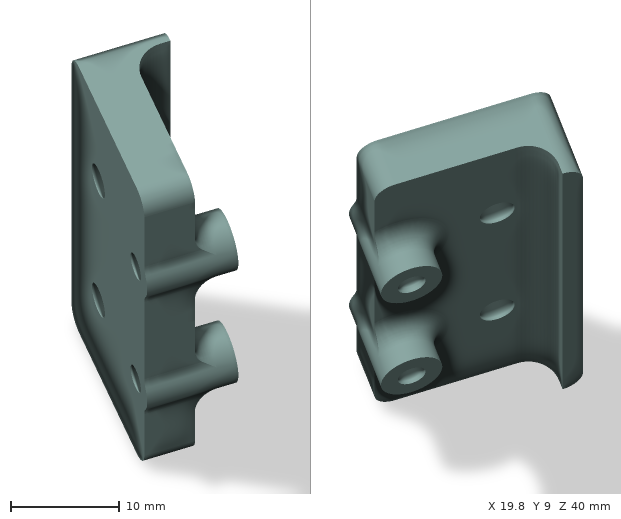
import cadquery as cq
import math

height = 40.0
plate_width = 19.0
plate_thickness = 5.0
corner_radius = 2.0

total_depth = 9.0
wall_thickness = 2.0
wall_fillet = 3.0

boss_diameter = 6.0
boss_radius = boss_diameter / 2
overall_width = 19.75
boss_x = overall_width - boss_radius
boss_heights = (7.9, -9.05)
boss_hole_diameter = 2.7
boss_base_fillet = 2.0
boss_side_fillet = 2.0

plate_hole_diameter = 3.4
plate_hole_x = 7.0
plate_hole_offset = 9.0


def facing_back():
    """XZ sketch plane whose extrusions run along +Y; local y points to -Z."""
    return cq.Workplane("XZ", origin=(0, 0, 0)).transformed(rotate=(180, 0, 0))


def rounded_block(depth):
    """Full plate outline with rounded corners, from Y = 0 to the given depth."""
    return (
        facing_back()
        .center(plate_width / 2, 0)
        .rect(plate_width, height)
        .extrude(depth)
        .edges("|Y")
        .fillet(corner_radius)
    )


def wall_profile():
    """Constant XY section: plate, wall and the concave blend between them."""
    blend_end_x = wall_thickness + wall_fillet
    blend_end_y = plate_thickness + wall_fillet
    return (
        cq.Workplane("XY", origin=(0, 0, -height / 2))
        .lineTo(plate_width, 0)
        .lineTo(plate_width, plate_thickness)
        .lineTo(blend_end_x, plate_thickness)
        .radiusArc((wall_thickness, blend_end_y), wall_fillet)
        .lineTo(wall_thickness, total_depth)
        .lineTo(0, total_depth)
        .close()
        .extrude(height)
    )


def side_lobe(z, depth):
    """Boss bulge with concave blends into the +X side of the plate."""
    blend_x = plate_width + boss_side_fillet
    center_distance = boss_radius + boss_side_fillet
    blend_dz = math.sqrt(center_distance**2 - (blend_x - boss_x) ** 2)
    touch_x = boss_x + (blend_x - boss_x) * boss_radius / center_distance
    touch_dz = blend_dz * boss_radius / center_distance
    return (
        facing_back()
        .center(0, -z)
        .moveTo(boss_x, -blend_dz)
        .lineTo(plate_width, -blend_dz)
        .radiusArc((touch_x, -touch_dz), boss_side_fillet)
        .threePointArc((overall_width, 0), (touch_x, touch_dz))
        .radiusArc((plate_width, blend_dz), boss_side_fillet)
        .lineTo(boss_x, blend_dz)
        .close()
        .extrude(depth)
    )


def flared_boss(z):
    """Boss cylinder with a concave flare where it meets the plate."""
    flare_top = plate_thickness + boss_base_fillet
    return (
        cq.Workplane("XY", origin=(boss_x, 0, z))
        .lineTo(boss_radius + boss_base_fillet, 0)
        .lineTo(boss_radius + boss_base_fillet, plate_thickness)
        .radiusArc((boss_radius, flare_top), boss_base_fillet)
        .lineTo(boss_radius, total_depth)
        .lineTo(0, total_depth)
        .close()
        .revolve(360, (0, 0, 0), (0, 1, 0))
    )


def through_hole(x, z, diameter):
    return facing_back().center(x, -z).circle(diameter / 2).extrude(total_depth)


outline = rounded_block(total_depth)
body = wall_profile().intersect(outline)

for z in boss_heights:
    lobed_outline = outline.union(side_lobe(z, total_depth))
    body = body.union(side_lobe(z, plate_thickness))
    body = body.union(flared_boss(z).intersect(lobed_outline))

for z in boss_heights:
    body = body.cut(through_hole(boss_x, z, boss_hole_diameter))

for z in (plate_hole_offset, -plate_hole_offset):
    body = body.cut(through_hole(plate_hole_x, z, plate_hole_diameter))

result = body